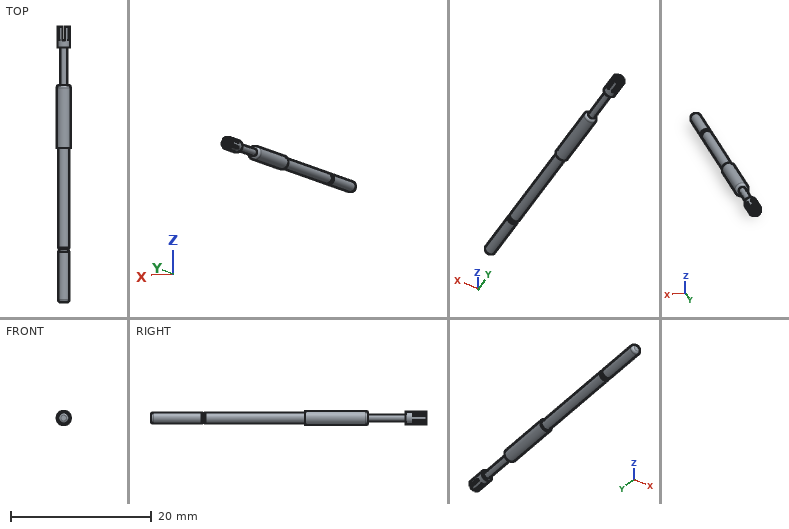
import cadquery as cq

total_length = 39.3

tube_radius = 1.6 / 2
tail_rounding = 0.4

groove_center = 7.5
groove_width = 0.6
groove_depth = 0.15

barrel_radius = 2.0 / 2
barrel_start = 21.95
barrel_length = 9.0
barrel_rounding = 0.4
barrel_end = barrel_start + barrel_length

shaft_radius = 1.05 / 2

head_radius = 1.8 / 2
head_length = 3.0
head_start = total_length - head_length
slot_count = 3
slot_width = 0.3
slot_depth = 1.93
recess_radius = 1.6 / 2
recess_depth = 0.63


def cylinder_along_y(radius, start, end):
    """Solid cylinder on the Y axis between two Y positions."""
    return cq.Workplane("XZ", origin=(0, start, 0)).circle(radius).extrude(start - end)


def make_tube():
    """Tail tube with a rounded end and a V groove around it."""
    tube = cylinder_along_y(tube_radius, 0, barrel_start)
    tube = tube.faces("<Y").edges().fillet(tail_rounding)
    groove = (
        cq.Workplane("XY")
        .moveTo(tube_radius, groove_center - groove_width / 2)
        .lineTo(tube_radius - groove_depth, groove_center)
        .lineTo(tube_radius, groove_center + groove_width / 2)
        .close()
        .revolve(360, (0, 0, 0), (0, 1, 0))
    )
    return tube.cut(groove)


def make_barrel():
    """Barrel with a rounded shoulder at the plunger end."""
    barrel = cylinder_along_y(barrel_radius, barrel_start, barrel_end)
    return barrel.faces(">Y").edges().fillet(barrel_rounding)


def make_shaft():
    """Thin plunger shaft between barrel and crown head."""
    return cylinder_along_y(shaft_radius, barrel_end, head_start)


def make_head():
    """Crown head: a conical end recess and slots across the full diameter leave six teeth."""
    head = cylinder_along_y(head_radius, head_start, total_length)
    recess = (
        cq.Workplane("XY")
        .moveTo(0, total_length - recess_depth)
        .lineTo(recess_radius, total_length)
        .lineTo(0, total_length)
        .close()
        .revolve(360, (0, 0, 0), (0, 1, 0))
    )
    head = head.cut(recess)
    slot = cq.Workplane("XY", origin=(0, total_length - slot_depth, 0)).box(
        slot_width, slot_depth, 2 * head_radius, centered=(True, False, True)
    )
    for index in range(slot_count):
        head = head.cut(slot.rotate((0, 0, 0), (0, 1, 0), index * 180 / slot_count))
    return head


result = make_tube().union(make_barrel()).union(make_shaft()).union(make_head())